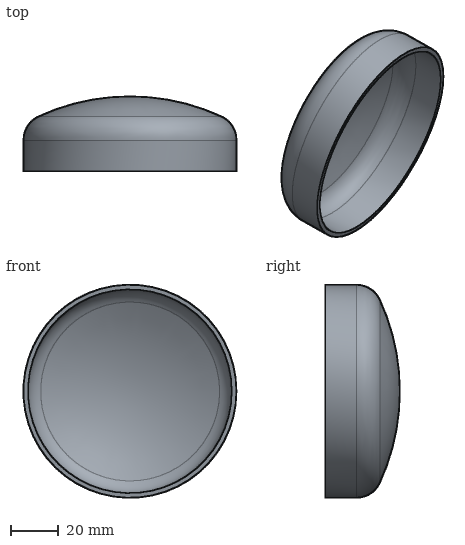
import cadquery as cq
import math

outer_diameter = 88.9
inner_diameter = 84.9
skirt_length = 13.0

outer_radius = outer_diameter / 2
wall_thickness = (outer_diameter - inner_diameter) / 2

crown_inner_radius = outer_diameter
knuckle_inner_radius = 0.1 * outer_diameter

knuckle_centre_x = outer_radius - wall_thickness - knuckle_inner_radius
tangent_angle = math.asin(knuckle_centre_x / (crown_inner_radius - knuckle_inner_radius))
crown_centre_y = skirt_length - (crown_inner_radius - knuckle_inner_radius) * math.cos(tangent_angle)


def knuckle_point(radius, angle):
    """Point on a knuckle arc, with the angle measured from the +Y direction."""
    return (
        knuckle_centre_x + radius * math.sin(angle),
        skirt_length + radius * math.cos(angle),
    )


def crown_point(radius, angle):
    """Point on a crown arc, with the angle measured from the +Y direction."""
    return (radius * math.sin(angle), crown_centre_y + radius * math.cos(angle))


def dished_solid(offset):
    """Solid bounded by the inner wall surface moved outward by the offset."""
    knuckle_radius = knuckle_inner_radius + offset
    crown_radius = crown_inner_radius + offset
    skirt_radius = knuckle_centre_x + knuckle_radius
    knuckle_middle_angle = (tangent_angle + math.pi / 2) / 2

    half_profile = (
        cq.Workplane("XY")
        .lineTo(skirt_radius, 0)
        .lineTo(skirt_radius, skirt_length)
        .threePointArc(
            knuckle_point(knuckle_radius, knuckle_middle_angle),
            knuckle_point(knuckle_radius, tangent_angle),
        )
        .threePointArc(
            crown_point(crown_radius, tangent_angle / 2),
            crown_point(crown_radius, 0),
        )
        .close()
    )
    return half_profile.revolve(360, (0, 0, 0), (0, 1, 0))


result = dished_solid(wall_thickness).cut(dished_solid(0))